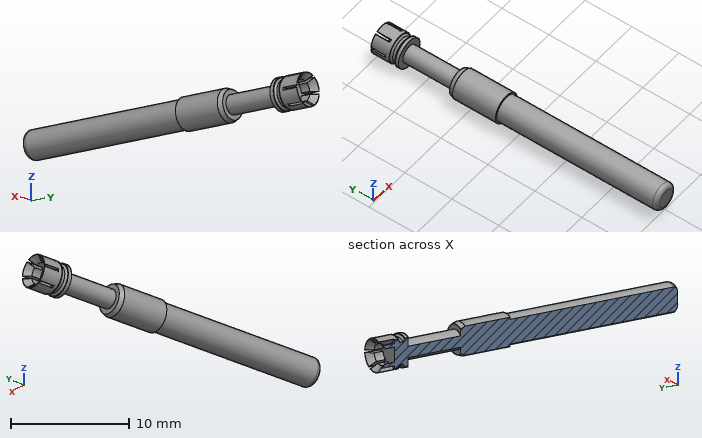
import cadquery as cq

LENGTH = 30.3
HEAD_DIAMETER = 3.0
SHAFT_DIAMETER = 1.8
SLEEVE_DIAMETER = HEAD_DIAMETER
BARREL_DIAMETER = 2.67

CROWN_LENGTH = 1.95
GROOVE_WIDTH = 0.65
FLANGE_THICKNESS = 0.35
SHAFT_LENGTH = 5.3
SLEEVE_TAPER_LENGTH = 0.45
SLEEVE_LENGTH = 5.03

GROOVE_DIAMETER = 2.48
GROOVE_MOUTH_DIAMETER = 2.85
GROOVE_FLOOR_WIDTH = 0.27

CUT_COUNT = 3
CUT_WIDTH = 0.25
CUT_DEPTH = 1.5

BORE_DIAMETER = 1.95
LIP_THICKNESS = 0.03
FLARE_DEPTH = 0.6

TAIL_FILLET = 0.45

HEAD_END = LENGTH / 2
TAIL_END = -LENGTH / 2
GROOVE_TOP = HEAD_END - CROWN_LENGTH
FLANGE_TOP = GROOVE_TOP - GROOVE_WIDTH
SHAFT_TOP = FLANGE_TOP - FLANGE_THICKNESS
SLEEVE_TOP = SHAFT_TOP - SHAFT_LENGTH
SLEEVE_BOTTOM = SLEEVE_TOP - SLEEVE_LENGTH
GROOVE_SLOPE = (GROOVE_WIDTH - GROOVE_FLOOR_WIDTH) / 2


def turned(points):
    """Revolve an outline of (radius, y) points about the Y axis."""
    return cq.Workplane("XY").polyline(points).close().revolve(360, (0, 0, 0), (0, 1, 0))


def cylinder(diameter, bottom, top):
    """Solid cylinder on the Y axis between two stations."""
    radius = diameter / 2
    return turned([(0, bottom), (radius, bottom), (radius, top), (0, top)])


def make_head():
    """Crown, groove and flange."""
    outer = HEAD_DIAMETER / 2
    mouth = GROOVE_MOUTH_DIAMETER / 2
    inner = GROOVE_DIAMETER / 2
    return turned([
        (0, HEAD_END),
        (outer, HEAD_END),
        (outer, GROOVE_TOP),
        (mouth, GROOVE_TOP),
        (inner, GROOVE_TOP - GROOVE_SLOPE),
        (inner, FLANGE_TOP + GROOVE_SLOPE),
        (mouth, FLANGE_TOP),
        (outer, FLANGE_TOP),
        (outer, SHAFT_TOP),
        (0, SHAFT_TOP),
    ])


def make_sleeve():
    """Thick collar whose upper end tapers down to the barrel diameter."""
    outer = SLEEVE_DIAMETER / 2
    return turned([
        (0, SLEEVE_TOP),
        (BARREL_DIAMETER / 2, SLEEVE_TOP),
        (outer, SLEEVE_TOP - SLEEVE_TAPER_LENGTH),
        (outer, SLEEVE_BOTTOM),
        (0, SLEEVE_BOTTOM),
    ])


def make_barrel():
    """Long barrel with a rounded tail end."""
    return cylinder(BARREL_DIAMETER, TAIL_END, SLEEVE_BOTTOM).faces("<Y").edges().fillet(TAIL_FILLET)


def make_cavity():
    """Bore and flare removed from inside the crown."""
    bore = BORE_DIAMETER / 2
    rim = HEAD_DIAMETER / 2 - LIP_THICKNESS
    floor = HEAD_END - CUT_DEPTH
    return turned([
        (0, floor),
        (bore, floor),
        (bore, HEAD_END - FLARE_DEPTH),
        (rim, HEAD_END),
        (0, HEAD_END),
    ])


def cut_crown(body):
    """Saw the crown across its full diameter at equal angles, the first cut lying along X."""
    blade = cq.Workplane("XY").box(2 * HEAD_DIAMETER, CUT_DEPTH, CUT_WIDTH)
    blade = blade.translate((0, HEAD_END - CUT_DEPTH / 2, 0))
    for index in range(CUT_COUNT):
        angle = index * 180 / CUT_COUNT
        body = body.cut(blade.rotate((0, 0, 0), (0, 1, 0), angle))
    return body


shaft = cylinder(SHAFT_DIAMETER, SLEEVE_TOP, SHAFT_TOP)
pin = make_head().union(shaft).union(make_sleeve()).union(make_barrel())
result = cut_crown(pin.cut(make_cavity()))